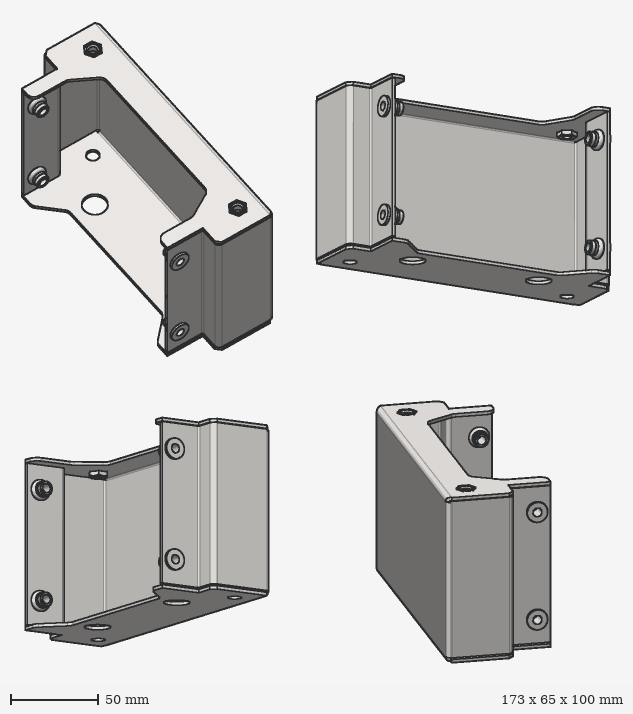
import cadquery as cq
import math

width = 173.0
depth = 65.0
height = 100.0

inner_bend = 1.0
sheet = 2 * inner_bend
outer_bend = inner_bend + sheet
bend_y = depth - outer_bend
upper_gap = 0.3
corner_cut = outer_bend

half_width = width / 2
flange_x = 71.8
step_y = 25.0

arm_inner_x = 61.8
edge_round = 5.0
top_edge_y = 43.2
slope_angle = math.radians(60)
top_edge_x = arm_inner_x - (top_edge_y - step_y) / math.tan(slope_angle)
bottom_edge_y = 15.0
bottom_edge_x = arm_inner_x - bottom_edge_y

cable_hole_diameter = 15.0
cable_hole_x = 41.5
cable_hole_y = 30.0
access_hole_diameter = 8.0

thread_hole = 5.2

hex_nut_x = 71.5
hex_nut_y = 50.0
hex_across_flats = 10.0
hex_corner_radius = hex_across_flats / math.sqrt(3)
hex_nut_height = 4.8
hex_chamfer_drop = 0.7
hex_face_diameter = 9.3
countersink_diameter = 7.3
countersink_angle = 90

rivet_y = 8.1
rivet_pitch = 65.0
rivet_heights = [(height - rivet_pitch) / 2, (height + rivet_pitch) / 2]
rivet_head_radius = 6.0
rivet_head_thickness = 1.5
rivet_shank_radius = 4.5
rivet_bulge_length = 3.6
rivet_collar_length = 1.5
rivet_tip_radius = 4.2
rivet_tip_length = 2.8
rivet_tip_chamfer = 0.3

SIDES = (-1, 1)


def mirrored(points):
    """Close a right-hand outline with its mirror image across X = 0."""
    return points + [(-x, y) for x, y in reversed(points)]


def round_corners(plate, corners, radius):
    """Round the upright edges that stand at the given corners and at their mirror images."""
    for x, y in corners:
        for side in SIDES:
            plate = plate.edges(cq.NearestToPointSelector((side * x, y, sheet / 2))).fillet(radius)
    return plate


def flat_plate(inner_edge):
    """Plate at Z = 0 that follows the walls outside and inner_edge between its arms."""
    outside = [
        (flange_x, 0),
        (flange_x, step_y),
        (half_width - corner_cut, step_y),
        (half_width, step_y + corner_cut),
        (half_width, bend_y),
    ]
    plate = cq.Workplane("XY").polyline(mirrored(inner_edge + outside)).close().extrude(sheet)
    return round_corners(plate, inner_edge, edge_round)


def rear_bend(length):
    """Quarter ring that joins a plate lying at Z = 0 to the back wall above it."""
    ring = (
        cq.Workplane("YZ")
        .center(bend_y, outer_bend)
        .circle(outer_bend)
        .circle(inner_bend)
        .extrude(length)
        .translate((-length / 2, 0, 0))
    )
    quarter = cq.Workplane("XY").box(length, outer_bend, outer_bend, centered=(True, False, False))
    return ring.intersect(quarter.translate((0, bend_y, 0)))


def make_walls():
    """Back wall, side boxes and front flanges as one bent strip."""
    wall_height = height - sheet - upper_gap - outer_bend
    outline = [(flange_x, 0), (flange_x, step_y), (half_width, step_y), (half_width, depth)]
    block = cq.Workplane("XY").polyline(mirrored(outline)).close().extrude(wall_height)
    bends = [
        (flange_x, step_y, inner_bend),
        (half_width, step_y, outer_bend),
        (half_width, depth, outer_bend),
    ]
    for x, y, radius in bends:
        for side in SIDES:
            edge = cq.NearestToPointSelector((side * x, y, wall_height / 2))
            block = block.edges(edge).fillet(radius)
    walls = block.faces("<Z or >Z or <Y").shell(-sheet).translate((0, 0, outer_bend))

    rear_trim = (
        cq.Workplane("XY")
        .box(width, sheet, outer_bend, centered=(True, False, False))
        .translate((0, depth - sheet, height - outer_bend))
    )
    return walls.cut(rear_trim)


def make_bottom():
    inner_edge = [(bottom_edge_x, bottom_edge_y), (arm_inner_x, 0)]
    plate = flat_plate(inner_edge)
    hole_pairs = [
        (cable_hole_x, cable_hole_y, cable_hole_diameter),
        (hex_nut_x, hex_nut_y, access_hole_diameter),
    ]
    for x, y, diameter in hole_pairs:
        centres = [(side * x, y) for side in SIDES]
        drills = cq.Workplane("XY").pushPoints(centres).circle(diameter / 2).extrude(sheet)
        plate = plate.cut(drills)
    return plate.union(rear_bend(width - 2 * outer_bend))


def make_top():
    inner_edge = [(top_edge_x, top_edge_y), (arm_inner_x, step_y), (arm_inner_x, 0)]
    plate = flat_plate(inner_edge)
    rear_corners = (
        cq.Workplane("XY")
        .rect(width, 2 * depth)
        .extrude(outer_bend)
        .edges("|Z and >Y")
        .chamfer(corner_cut)
    )
    top = plate.union(rear_bend(width).intersect(rear_corners))
    return top.mirror("XY").translate((0, 0, height))


def make_hex_blank():
    """Hexagonal prism with two corners pointing along Y, its top face at Z = 0."""
    return (
        cq.Workplane("XY")
        .polygon(6, 2 * hex_corner_radius)
        .extrude(-hex_nut_height)
        .rotate((0, 0, 0), (0, 0, 1), 90)
    )


def make_hex_nut(x):
    """Hex nut with chamfered corners and a countersunk hole, flush with the top plate."""
    face_radius = hex_face_diameter / 2
    turned = (
        cq.Workplane("XZ")
        .polyline([
            (0, 0),
            (face_radius, 0),
            (hex_corner_radius, -hex_chamfer_drop),
            (hex_corner_radius, hex_chamfer_drop - hex_nut_height),
            (face_radius, -hex_nut_height),
            (0, -hex_nut_height),
        ])
        .close()
        .revolve(360, (0, 0), (0, 1))
    )
    nut = make_hex_blank().intersect(turned)
    top_face = nut.faces(">Z").workplane(origin=(0, 0, 0))
    nut = top_face.cskHole(thread_hole, countersink_diameter, countersink_angle)
    return nut.translate((x, hex_nut_y, height))


def make_rivet_nut(side, z):
    """Rivet nut on one flange: head outside, bulge, collar and tip on the inside."""
    bulge_end = sheet + rivet_bulge_length
    collar_end = bulge_end + rivet_collar_length
    tip_end = collar_end + rivet_tip_length
    hole_radius = thread_hole / 2
    nut = (
        cq.Workplane("XY")
        .moveTo(-rivet_head_thickness, hole_radius)
        .lineTo(-rivet_head_thickness, rivet_head_radius)
        .lineTo(0, rivet_head_radius)
        .lineTo(0, rivet_shank_radius)
        .lineTo(sheet, rivet_shank_radius)
        .threePointArc((sheet + rivet_bulge_length / 2, rivet_head_radius), (bulge_end, rivet_shank_radius))
        .lineTo(collar_end, rivet_shank_radius)
        .lineTo(collar_end, rivet_tip_radius)
        .lineTo(tip_end - rivet_tip_chamfer, rivet_tip_radius)
        .lineTo(tip_end, rivet_tip_radius - rivet_tip_chamfer)
        .lineTo(tip_end, hole_radius)
        .close()
        .revolve(360, (0, 0), (1, 0))
    )
    nut = nut.translate((-flange_x, rivet_y, z))
    return nut if side < 0 else nut.mirror("YZ")


def make_housing():
    housing = make_walls().union(make_bottom()).union(make_top())
    for side in SIDES:
        hex_hole = make_hex_blank().translate((side * hex_nut_x, hex_nut_y, height))
        housing = housing.cut(hex_hole)
    for z in rivet_heights:
        shank_hole = (
            cq.Workplane("YZ")
            .center(rivet_y, z)
            .circle(rivet_shank_radius)
            .extrude(flange_x, both=True)
        )
        housing = housing.cut(shank_hole)
    return housing


housing = make_housing()
hex_nuts = [make_hex_nut(side * hex_nut_x) for side in SIDES]
rivet_nuts = [make_rivet_nut(side, z) for side in SIDES for z in rivet_heights]

result = cq.Compound.makeCompound(
    [housing.val()] + [nut.val() for nut in hex_nuts] + [nut.val() for nut in rivet_nuts]
)